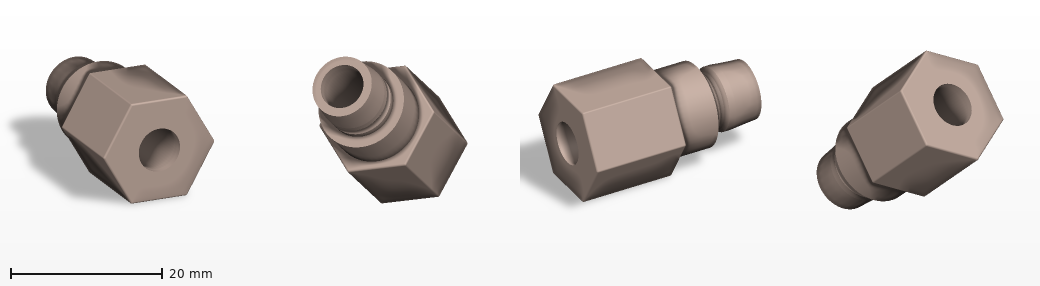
import cadquery as cq
import math

total_length = 27.0
hex_length = 13.5
collar_length = 6.0

hex_across_flats = 14.0
hex_edge_radius = 0.25

collar_diameter = 12.0
nose_diameter = 9.02
nose_tip_diameter = 8.32
nose_taper_length = 4.0
bore_diameter = 6.0

groove_start = 5.0
groove_depth = 0.49
groove_floor_width = 0.5

hex_start = total_length - hex_length
collar_start = hex_start - collar_length
groove_floor_start = groove_start + groove_depth
groove_floor_end = groove_floor_start + groove_floor_width
groove_end = groove_floor_end + groove_depth

collar_radius = collar_diameter / 2
nose_radius = nose_diameter / 2
nose_tip_radius = nose_tip_diameter / 2
groove_radius = nose_radius - groove_depth


def make_turned_section():
    """Tapered nose, locking groove and collar, revolved about the X axis."""
    profile = (
        cq.Workplane("XZ")
        .moveTo(0, 0)
        .lineTo(0, nose_tip_radius)
        .lineTo(nose_taper_length, nose_radius)
        .lineTo(groove_start, nose_radius)
        .lineTo(groove_floor_start, groove_radius)
        .lineTo(groove_floor_end, groove_radius)
        .lineTo(groove_end, nose_radius)
        .lineTo(collar_start, nose_radius)
        .lineTo(collar_start, collar_radius)
        .lineTo(hex_start, collar_radius)
        .lineTo(hex_start, 0)
        .close()
    )
    return profile.revolve(360, (0, 0, 0), (1, 0, 0))


def make_hexagon():
    """Wrench hexagon with every edge rounded."""
    across_corners = hex_across_flats / math.cos(math.radians(30))
    return (
        cq.Workplane("YZ", origin=(hex_start, 0, 0))
        .polygon(6, across_corners)
        .extrude(hex_length)
        .edges()
        .fillet(hex_edge_radius)
    )


def make_bore():
    """Straight bore through the whole length."""
    return cq.Workplane("YZ").circle(bore_diameter / 2).extrude(total_length)


result = make_turned_section().union(make_hexagon()).cut(make_bore())